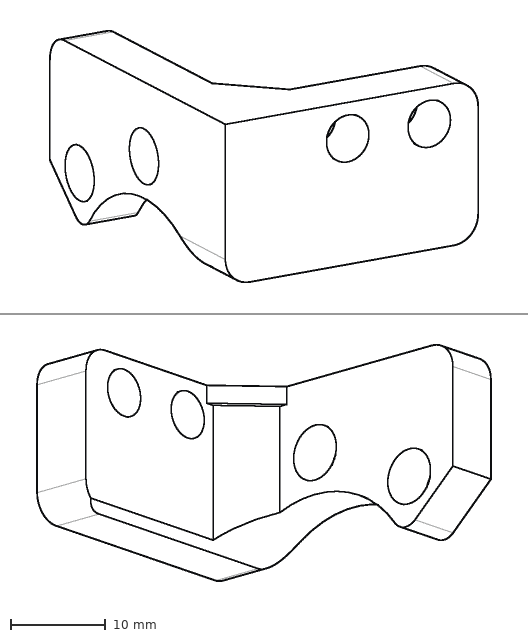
import cadquery as cq
import math

plate_length = 36.7
plate_thickness = 6.0
arm_length = 31.0
arm_thickness = 7.0
arm_height = 18.0
arm_inner_x = -arm_thickness
corner_radius = 3.0

left_edge_height = 14.1
lobe_slope_angle = 41.5
lobe_tip_radius = 2.0

saddle_radius = 14.25
saddle_top_depth = 12.9
saddle_x = -17.0
saddle_z = -(saddle_top_depth + saddle_radius)

gusset_top_leg = 6.0
gusset_top_height = 2.0
gusset_web_leg = 5.0

plate_hole_diameter = 6.1
lobe_hole_x = -30.45
lobe_hole_z = -13.85
middle_hole_z = -8.25
plate_hole_centers = [(saddle_x, middle_hole_z), (lobe_hole_x, lobe_hole_z)]
arm_hole_diameter = 5.2
arm_hole_depth = 4.0
arm_hole_ys = [15.0, 25.0]


def lobe_corner():
    """Point where the sloped lobe edge meets the saddle circle, in X and Z."""
    dir_x = math.cos(math.radians(lobe_slope_angle))
    dir_z = -math.sin(math.radians(lobe_slope_angle))
    from_center_x = -plate_length - saddle_x
    from_center_z = -left_edge_height - saddle_z
    along = from_center_x * dir_x + from_center_z * dir_z
    outside = from_center_x**2 + from_center_z**2 - saddle_radius**2
    distance = -along - math.sqrt(along**2 - outside)
    return -plate_length + distance * dir_x, -left_edge_height + distance * dir_z


def make_plate():
    """Plate with a rounded top corner and a sloped lobe with a rounded tip."""
    corner_x, corner_z = lobe_corner()
    saddle_end_x = saddle_x + math.sqrt(saddle_radius**2 - (-arm_height - saddle_z) ** 2)
    plate = (
        cq.Workplane("XZ")
        .moveTo(0, 0)
        .lineTo(-plate_length, 0)
        .lineTo(-plate_length, -left_edge_height)
        .lineTo(corner_x, corner_z)
        .threePointArc((saddle_x, -saddle_top_depth), (saddle_end_x, -arm_height))
        .lineTo(0, -arm_height)
        .close()
        .extrude(-plate_thickness)
    )
    plate = plate.edges(cq.selectors.NearestToPointSelector((-plate_length, plate_thickness / 2, 0)))
    plate = plate.fillet(corner_radius)
    tip = cq.selectors.NearestToPointSelector((corner_x, plate_thickness / 2, corner_z))
    return plate.edges(tip).fillet(lobe_tip_radius)


def make_arm():
    """Arm with both corners of its free end rounded."""
    arm = cq.Workplane("XY").box(arm_thickness, arm_length, arm_height, centered=False)
    arm = arm.translate((arm_inner_x, 0, -arm_height))
    return arm.edges("|X and >Y").fillet(corner_radius)


def make_gusset(leg, top_z, bottom_z):
    """Triangular 45 degree gusset layer between two heights."""
    return (
        cq.Workplane("XY", origin=(0, 0, bottom_z))
        .moveTo(arm_inner_x, plate_thickness)
        .lineTo(arm_inner_x - leg, plate_thickness)
        .lineTo(arm_inner_x, plate_thickness + leg)
        .close()
        .extrude(top_z - bottom_z)
    )


def make_saddle_cutter():
    """Cylinder that carries the saddle through the arm and the gusset."""
    return (
        cq.Workplane("XZ")
        .center(saddle_x, saddle_z)
        .circle(saddle_radius)
        .extrude(-arm_length)
    )


def make_front_edge_cutter():
    """Sliver that, when removed, rounds the lower front edge to the right of the saddle."""
    return (
        cq.Workplane("YZ", origin=(saddle_x, 0, 0))
        .moveTo(0, -arm_height)
        .lineTo(0, corner_radius - arm_height)
        .radiusArc((corner_radius, -arm_height), -corner_radius)
        .close()
        .extrude(-saddle_x)
    )


def make_plate_holes():
    """Holes through the plate along Y."""
    return (
        cq.Workplane("XZ")
        .pushPoints(plate_hole_centers)
        .circle(plate_hole_diameter / 2)
        .extrude(-plate_thickness)
    )


def make_arm_holes():
    """Holes through the arm along X."""
    return (
        cq.Workplane("YZ", origin=(arm_inner_x, 0, 0))
        .pushPoints([(y, -arm_hole_depth) for y in arm_hole_ys])
        .circle(arm_hole_diameter / 2)
        .extrude(arm_thickness)
    )


arm_side = (
    make_arm()
    .union(make_gusset(gusset_top_leg, 0, -gusset_top_height))
    .union(make_gusset(gusset_web_leg, -gusset_top_height, -arm_height))
    .cut(make_saddle_cutter())
)
result = (
    make_plate()
    .union(arm_side)
    .cut(make_front_edge_cutter())
    .cut(make_plate_holes())
    .cut(make_arm_holes())
)